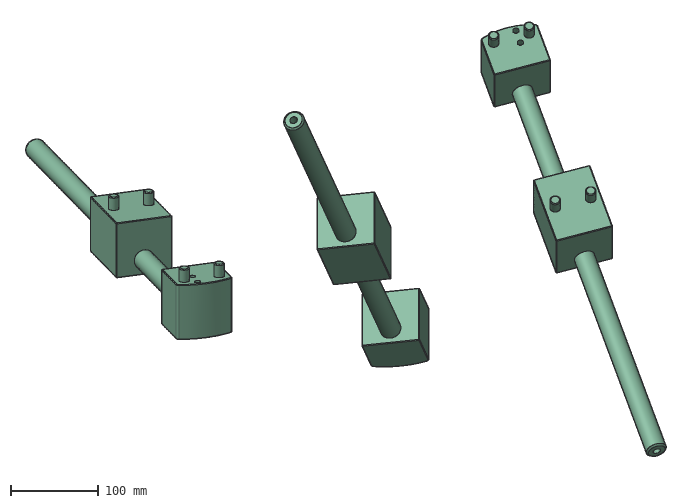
import cadquery as cq
import math

total_length = 576.0

block_width = 68.0
block_height = 68.0
edge_chamfer = 1.0

slider_length = 88.0
slider_start = 279.0

end_block_length = 58.0
end_block_start = total_length - end_block_length
crown_radius = 94.5
crown_corner_radius = 4.0

rod_radius = 12.0
rod_axis_z = 18.5
rod_chamfer = 2.0
rod_socket_depth = 30.0
rod_hole_radius = 4.3
rod_hole_depth = 23.0

pin_radius = 6.05
pin_protrusion = 16.0
pin_seat_depth = 16.0
pin_chamfer = 1.0
pin_offset_y = 21.5
slider_pin_x = slider_start + slider_length / 2
end_pin_x = 560.0

small_hole_radius = 3.5
small_hole_depth = 11.5
small_hole_y = -8.0
small_hole_spacing = 17.0

drill_tip_angle = 118.0


def drill(start_plane, radius, depth):
    """Blind hole cutter with a conical tip, running along the plane normal."""
    tip = radius / math.tan(math.radians(drill_tip_angle / 2))
    profile = (
        cq.Workplane("XY")
        .lineTo(radius, 0)
        .lineTo(radius, depth)
        .lineTo(0, depth + tip)
        .close()
        .revolve(360, (0, 0), (0, 1))
    )
    upright = profile.rotate((0, 0, 0), (1, 0, 0), 90)
    return cq.Workplane(upright.val().moved(cq.Location(start_plane)))


def rod_section(x):
    """Plane across the rod axis at a given X, facing +X."""
    return cq.Plane(origin=(x, 0, rod_axis_z), xDir=(0, 0, 1), normal=(1, 0, 0))


def rod_cylinder(start_x, end_x):
    """Plain cylinder on the rod axis between two X positions."""
    section = rod_section(start_x)
    return cq.Workplane(section).circle(rod_radius).extrude(end_x - start_x)


def pin_places(pin_x):
    """The two pin positions, mirrored about the mid-plane."""
    return [(pin_x, -pin_offset_y), (pin_x, pin_offset_y)]


def pin_cylinder(place, top_z):
    """Plain cylinder from the bottom of a pin seat up to top_z."""
    seat_z = block_height - pin_seat_depth
    section = cq.Plane(origin=(*place, seat_z), normal=(0, 0, 1))
    return cq.Workplane(section).circle(pin_radius).extrude(top_z - seat_z)


def make_pin(place):
    return pin_cylinder(place, block_height + pin_protrusion).faces(">Z").chamfer(pin_chamfer)


def cut_pin_seats(block, pin_x):
    for place in pin_places(pin_x):
        block = block.cut(pin_cylinder(place, block_height))
    return block


def make_rod():
    end_x = end_block_start + rod_socket_depth
    rod = rod_cylinder(0, end_x).faces("<X").chamfer(rod_chamfer)
    return rod.cut(drill(rod_section(0), rod_hole_radius, rod_hole_depth))


def make_slider():
    """Rectangular block that the rod passes through."""
    block = (
        cq.Workplane("XY")
        .box(slider_length, block_width, block_height, centered=(False, True, False))
        .translate((slider_start, 0, 0))
        .edges()
        .chamfer(edge_chamfer)
    )
    block = block.cut(rod_cylinder(slider_start, slider_start + slider_length))
    return cut_pin_seats(block, slider_pin_x)


def make_end_block():
    """Block with a crowned outer end that holds the end of the rod."""
    half_width = block_width / 2
    crown_rise = crown_radius - math.sqrt(crown_radius**2 - half_width**2)
    shoulder_x = total_length - crown_rise
    block = (
        cq.Workplane("XY")
        .moveTo(end_block_start, -half_width)
        .lineTo(shoulder_x, -half_width)
        .threePointArc((total_length, 0), (shoulder_x, half_width))
        .lineTo(end_block_start, half_width)
        .close()
        .extrude(block_height)
    )
    crown_corners = cq.selectors.BoxSelector(
        (shoulder_x - edge_chamfer, -block_width, 0), (total_length, block_width, block_height)
    )
    block = block.edges("|Z").edges(crown_corners).fillet(crown_corner_radius)
    block = block.faces("<X or <Z or >Z").edges().chamfer(edge_chamfer)
    block = block.cut(rod_cylinder(end_block_start, end_block_start + rod_socket_depth))
    block = cut_pin_seats(block, end_pin_x)
    for side in (-1, 1):
        hole_x = end_pin_x + side * small_hole_spacing / 2
        hole_plane = cq.Plane(origin=(hole_x, small_hole_y, block_height), normal=(0, 0, -1))
        block = block.cut(drill(hole_plane, small_hole_radius, small_hole_depth))
    return block


rod = make_rod()
slider = make_slider()
end_block = make_end_block()
pins = [make_pin(place) for pin_x in (slider_pin_x, end_pin_x) for place in pin_places(pin_x)]

result = cq.Compound.makeCompound(
    [rod.val(), slider.val(), end_block.val(), *[pin.val() for pin in pins]]
)